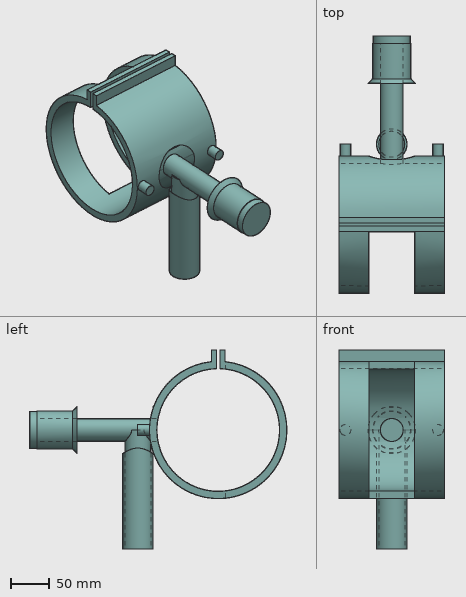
import cadquery as cq

clamp_width = 138.0
ring_outer_radius = 90.0
ring_inner_radius = 80.0
ring_mid_radius = (ring_outer_radius + ring_inner_radius) / 2

lug_top = 104.7
lug_span = 18.2
split_gap = 4.5

window_width = 60.0
window_back = -9.8

channel_diameter = 30.0

peg_diameter = 14.0
peg_end = 105.5
peg_inset = 1.5
peg_offset = clamp_width / 2 - peg_inset - peg_diameter / 2

overall_length = 336.7
spigot_end = overall_length - ring_outer_radius
body_radius = 31.0
neck_diameter = 50.2
neck_radius = neck_diameter / 2
shoulder_end = 190.5
shoulder_length = 6.0
root_face = ring_mid_radius

cap_diameter = 48.8
cap_thickness = 9.8
cap_face = spigot_end - cap_thickness

leg_diameter = 40.0
leg_bore_diameter = 34.0
leg_y = 105.0
leg_bottom = -156.0


def x_cylinder(radius):
    """Cylinder on the ring axis, as wide as the clamp."""
    return cq.Workplane("YZ", origin=(-clamp_width / 2, 0, 0)).circle(radius).extrude(clamp_width)


def y_cylinder(diameter, start, end, x=0):
    """Cylinder along Y between two Y positions, at height zero."""
    plane = cq.Workplane("XZ", origin=(x, start, 0))
    return plane.circle(diameter / 2).extrude(start - end)


def z_cylinder(diameter):
    """Cylinder on the leg axis, from the spigot axis down to the leg end."""
    return cq.Workplane("XY", origin=(0, leg_y, 0)).circle(diameter / 2).extrude(leg_bottom)


def make_clamp():
    """Split ring with lugs, front window and two pegs."""
    clamp = x_cylinder(ring_outer_radius)
    lugs = cq.Workplane("XY").box(clamp_width, lug_span, lug_top, centered=(True, True, False))
    clamp = clamp.union(lugs).cut(x_cylinder(ring_inner_radius))

    split = cq.Workplane("XY").box(clamp_width, split_gap, lug_top, centered=(True, True, False))
    clamp = clamp.cut(split)

    window_depth = ring_outer_radius + window_back
    window = cq.Workplane("XY").box(window_width, window_depth, 2 * ring_outer_radius)
    clamp = clamp.cut(window.translate((0, window_back - window_depth / 2, 0)))

    for x in (-peg_offset, peg_offset):
        clamp = clamp.union(y_cylinder(peg_diameter, ring_mid_radius, peg_end, x))
    return clamp


def make_spigot():
    """Stepped round spigot with its leg, rooted in the ring wall."""
    profile = [
        (0, root_face),
        (body_radius, root_face),
        (body_radius, shoulder_end - shoulder_length),
        (neck_radius, shoulder_end),
        (neck_radius, cap_face),
        (0, cap_face),
    ]
    spigot = cq.Workplane("XY").polyline(profile).close().revolve(360, (0, 0, 0), (0, 1, 0))
    return spigot.union(z_cylinder(leg_diameter)).cut(x_cylinder(ring_inner_radius))


def make_holder():
    """Clamp and spigot in one piece, with the channel and the leg bore."""
    holder = make_clamp().union(make_spigot())
    holder = holder.cut(y_cylinder(channel_diameter, 0, cap_face))
    return holder.cut(z_cylinder(leg_bore_diameter))


def make_cap():
    """Plain disc closing the end of the spigot."""
    return y_cylinder(cap_diameter, cap_face, spigot_end)


holder = make_holder()
cap = make_cap()

result = cq.Compound.makeCompound([holder.val(), cap.val()])